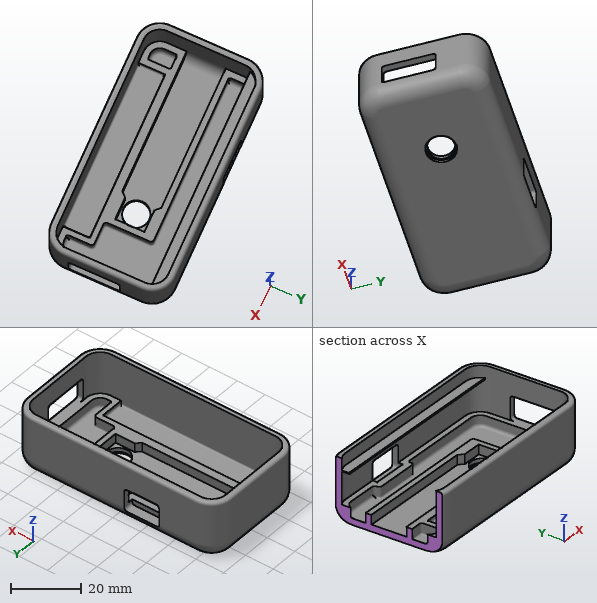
import cadquery as cq

LENGTH = 73.5
WIDTH = 38.5
HEIGHT = 20.8
CORNER_RADIUS = 7.1
BOTTOM_RADIUS = 5.0
RIM_RADIUS = 0.95

WALL = 2.05
FLOOR_THICKNESS = 2.0
SLOT_FLOOR_Z = 2.4
SHELF_Z = 5.65

LEDGE_EDGE_Y = 13.8
LEDGE_TOP_Z = 16.8
LEDGE_THICKNESS = 0.5

POCKET_INSET = 4.05
POCKET_RIM_FILLET = 1.0
POCKET_FILLET = 0.5
POCKET_CORNER_RADIUS = 0.95
POCKET_END_RADIUS = 0.5
ARM_EDGE_Y = 8.0
MIDDLE_EDGE_X = 20.1
STEP_EDGE_Y = -7.0
LEG_EDGE_X = 27.85
SMALL_POCKET_RIGHT_X = -28.1
SMALL_POCKET_TOP_Y = -8.1

TRAY_LENGTH = 52.1
TRAY_EDGE_Y = -8.9
TRAY_DEPTH = 1.5

SLOT_WIDTH = 12.1
SLOT_NECK_WIDTH = 9.1
SLOT_TAPER_START_X = 9.8
SLOT_END_X = 18.15
HOLE_X = 13.7
HOLE_DIAMETER = 8.0
HOLE_RECESS_DIAMETER = 9.05
HOLE_RECESS_DEPTH = 1.0

SIDE_WINDOW_X = -9.9
SIDE_WINDOW_WIDTH = 12.6
SIDE_WINDOW_Z = 3.8
SIDE_WINDOW_HEIGHT = 8.0
SIDE_WINDOW_DEPTH_Y = 15.6
BOSS_WIDTH = 16.75
BOSS_EDGE_Y = 13.15

END_WINDOW_TOP_Y = 5.3
END_WINDOW_WIDTH = 16.0
END_WINDOW_HEIGHT = 8.0
WINDOW_RADIUS = 1.0


def inset_block(inset, z_bottom, z_top, bottom_radius):
    """Rounded block that follows the outer walls at a constant inset."""
    return (
        cq.Workplane("XY", origin=(0, 0, z_bottom))
        .rect(LENGTH - 2 * inset, WIDTH - 2 * inset)
        .extrude(z_top - z_bottom)
        .edges("|Z")
        .fillet(CORNER_RADIUS - inset)
        .faces("<Z")
        .edges()
        .fillet(bottom_radius)
    )


def block(x_range, y_range, z_range):
    """Box given by its limits along the three axes."""
    size = [high - low for low, high in (x_range, y_range, z_range)]
    corner = (x_range[0], y_range[0], z_range[0])
    return cq.Workplane("XY", origin=corner).box(*size, centered=False)


def fillet_corners(solid, points, radius):
    """Fillet the vertical edges that stand nearest to the given plan points."""
    middle_z = solid.val().Center().z
    for x, y in points:
        solid = solid.edges("|Z").edges(cq.NearestToPointSelector((x, y, middle_z))).fillet(radius)
    return solid


cavity_limit = inset_block(WALL, FLOOR_THICKNESS, HEIGHT, BOTTOM_RADIUS - WALL)
pocket_limit = inset_block(POCKET_INSET, FLOOR_THICKNESS, SHELF_Z, POCKET_RIM_FILLET)
inner_x = LENGTH / 2 - WALL
inner_y = WIDTH / 2 - WALL
pocket_x = LENGTH / 2 - POCKET_INSET
pocket_y = WIDTH / 2 - POCKET_INSET
pocket_z = (FLOOR_THICKNESS, SHELF_Z)


def make_shell():
    """Open box with a rounded bottom, a rounded rim and a raised floor."""
    outer = inset_block(0, 0, HEIGHT, BOTTOM_RADIUS).faces(">Z").edges().fillet(RIM_RADIUS)
    upper_space = block((-LENGTH, LENGTH), (-WIDTH, WIDTH), (SHELF_Z, HEIGHT))
    return outer.cut(cavity_limit.intersect(upper_space))


def make_ledge():
    """Thin ledge that bridges the cavity along the +Y wall."""
    strip = block(
        (-LENGTH / 2, LENGTH / 2),
        (LEDGE_EDGE_Y, WIDTH / 2),
        (LEDGE_TOP_Z - LEDGE_THICKNESS, LEDGE_TOP_Z),
    )
    return strip.intersect(cavity_limit)


def make_main_pocket():
    """Angular pocket: an arm along +Y, a field at +X and a leg toward -Y."""
    outline = [
        (-pocket_x, ARM_EDGE_Y),
        (MIDDLE_EDGE_X, ARM_EDGE_Y),
        (MIDDLE_EDGE_X, STEP_EDGE_Y),
        (LEG_EDGE_X, STEP_EDGE_Y),
        (LEG_EDGE_X, -pocket_y),
        (pocket_x, -pocket_y),
        (pocket_x, pocket_y),
        (-pocket_x, pocket_y),
    ]
    pocket = (
        cq.Workplane("XY", origin=(0, 0, FLOOR_THICKNESS))
        .polyline(outline)
        .close()
        .extrude(SHELF_Z - FLOOR_THICKNESS)
    )
    boss_left = SIDE_WINDOW_X - BOSS_WIDTH / 2
    boss_right = SIDE_WINDOW_X + BOSS_WIDTH / 2
    pocket = pocket.cut(block((boss_left, boss_right), (BOSS_EDGE_Y, WIDTH), pocket_z))
    boss_corners = [(x, y) for x in (boss_left, boss_right) for y in (BOSS_EDGE_Y, pocket_y)]
    pocket = fillet_corners(pocket, outline[1:4] + boss_corners, POCKET_CORNER_RADIUS)
    pocket = fillet_corners(pocket, [outline[0], outline[4]], POCKET_END_RADIUS)
    pocket = pocket.faces("<Z").edges().fillet(POCKET_FILLET)
    return pocket.intersect(pocket_limit)


def make_small_pocket():
    """Small pocket in the corner at -X, -Y."""
    pocket = (
        block((-pocket_x, SMALL_POCKET_RIGHT_X), (-pocket_y, SMALL_POCKET_TOP_Y), pocket_z)
        .edges("|Z")
        .fillet(POCKET_END_RADIUS)
        .faces("<Z")
        .edges()
        .fillet(POCKET_FILLET)
    )
    return pocket.intersect(pocket_limit)


def make_tray():
    """Shallow tray that reaches the -Y wall of the cavity."""
    return (
        block(
            (-TRAY_LENGTH / 2, TRAY_LENGTH / 2),
            (-inner_y, TRAY_EDGE_Y),
            (SHELF_Z - TRAY_DEPTH, SHELF_Z),
        )
        .faces("<Z")
        .edges()
        .fillet(POCKET_FILLET)
    )


def make_slot():
    """Slot from the -X wall that narrows around the round hole."""
    half_width = SLOT_WIDTH / 2
    half_neck = SLOT_NECK_WIDTH / 2
    neck_x = SLOT_TAPER_START_X + half_width - half_neck
    slot = (
        cq.Workplane("XY", origin=(0, 0, SLOT_FLOOR_Z))
        .moveTo(-inner_x, 0)
        .lineTo(-inner_x, half_width)
        .lineTo(SLOT_TAPER_START_X, half_width)
        .lineTo(neck_x, half_neck)
        .lineTo(SLOT_END_X, half_neck)
        .lineTo(SLOT_END_X, 0)
        .mirrorX()
        .extrude(SHELF_Z - SLOT_FLOOR_Z)
    )
    slot_limit = inset_block(WALL, SLOT_FLOOR_Z, SHELF_Z, BOTTOM_RADIUS - WALL)
    return slot.intersect(slot_limit)


def make_hole():
    """Round hole through the bottom, slightly wider at its lower end."""
    center = cq.Workplane("XY").center(HOLE_X, 0)
    bore = center.circle(HOLE_DIAMETER / 2).extrude(SHELF_Z)
    recess = center.circle(HOLE_RECESS_DIAMETER / 2).extrude(HOLE_RECESS_DEPTH)
    return bore.union(recess)


def make_side_window():
    """Rounded window through the +Y wall, sunk into the shelf behind it."""
    return (
        block(
            (SIDE_WINDOW_X - SIDE_WINDOW_WIDTH / 2, SIDE_WINDOW_X + SIDE_WINDOW_WIDTH / 2),
            (SIDE_WINDOW_DEPTH_Y, WIDTH),
            (SIDE_WINDOW_Z, SIDE_WINDOW_Z + SIDE_WINDOW_HEIGHT),
        )
        .edges("|Y")
        .fillet(WINDOW_RADIUS)
    )


def make_end_window():
    """Rounded window through the +X wall, level with the shelf."""
    return (
        block(
            (inner_x - WALL, LENGTH),
            (END_WINDOW_TOP_Y - END_WINDOW_WIDTH, END_WINDOW_TOP_Y),
            (SHELF_Z, SHELF_Z + END_WINDOW_HEIGHT),
        )
        .edges("|X")
        .fillet(WINDOW_RADIUS)
    )


result = make_shell().union(make_ledge())
for cutter in (
    make_main_pocket(),
    make_small_pocket(),
    make_tray(),
    make_slot(),
    make_hole(),
    make_side_window(),
    make_end_window(),
):
    result = result.cut(cutter)